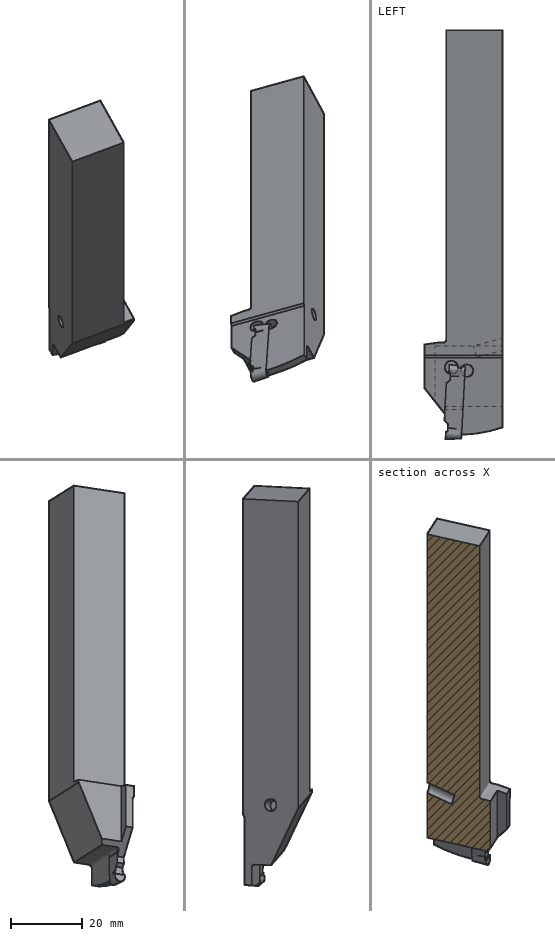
import cadquery as cq
import math


total_width = 15.9
total_depth = 21.9
total_height = 114.5

blade_inner_x = 2.5
blade_relief = 0.4
blade_thickness = blade_inner_x - blade_relief
blade_center_x = blade_relief + blade_thickness / 2
relief_top_z = 23.6
relief_ramp_height = 0.7
ramp_radius = (blade_relief**2 + relief_ramp_height**2) / (4 * blade_relief)

insert_length = 21.0
insert_tilt = 3.0
stem_depth = 5.0
nose_diameter = 3.1
cutting_edge_drop = 0.6
chip_groove_depth = 1.0
clearance_angle = 5.0
head_height = 3.3
head_neck_width = 2.5
stem_end = 2.2
groove_end = 4.4
stem_shoulder = 5.3
cutting_face_y = stem_depth - cutting_edge_drop
groove_y = stem_depth - chip_groove_depth
seat_center_y = 11.0

nose_radius = nose_diameter / 2
tilt = math.radians(insert_tilt)
nose_center_drop = insert_length / 2 - nose_radius
insert_center_z = nose_center_drop * math.cos(tilt) + nose_radius - cutting_face_y * math.sin(tilt)

shank_width = total_width - (nose_radius - blade_center_x)
shank_depth = shank_width

shoulder_z = 27.1
shoulder_fillet = 0.7
shoulder_knee_y = 18.0
tab_top_z = 26.6
tab_bottom_z = 14.3
jaw_tip_y = 16.1
jaw_tip_z = 7.1
blade_tip_y = 11.2
blade_tip_z = 1.3
blade_heel_z = 3.3
blade_arc_y = 6.4
blade_arc_z = 1.7

body_depth = 19.0
body_bottom_z = 9.3
body_fillet = 0.9
bevel_top_z = 26.2
bevel_bottom_x = 8.0

relief_hole_depth = 3.2
relief_holes = [(14.3, 20.2, 1.8), (10.0, 19.2, 1.7)]

rear_hole_diameter = 3.3
rear_hole_x = shank_width / 2
rear_hole_z = 26.7
rear_hole_angle = 15.0
rear_hole_length = 8.0


def make_stem():
    """Insert stem, upright about its mid-height, with its -Y side on Y = 0."""
    half = insert_length / 2
    lower = [
        (0, stem_end - half),
        (groove_y, stem_end - half),
        (groove_y, groove_end - half),
        (stem_depth, stem_shoulder - half),
    ]
    upper = [(y, -z) for y, z in reversed(lower)]
    stem = cq.Workplane("YZ").polyline(lower + upper).close().extrude(blade_thickness)
    return stem.translate((-blade_thickness / 2, 0, 0))


def make_head():
    """Lower round-nosed head, tapering from the cutting face towards -Y, with its chip groove."""
    nose_z = -nose_center_drop
    neck_z = head_height - insert_length / 2
    head = (
        cq.Workplane("XZ", origin=(0, cutting_face_y, 0))
        .moveTo(-head_neck_width / 2, neck_z)
        .lineTo(-nose_radius, nose_z)
        .threePointArc((0, nose_z - nose_radius), (nose_radius, nose_z))
        .lineTo(head_neck_width / 2, neck_z)
        .close()
        .extrude(cutting_face_y, taper=clearance_angle)
    )
    groove = cq.Workplane("XY").box(
        nose_diameter, stem_depth, groove_end - stem_end, centered=(True, False, False)
    )
    return head.cut(groove.translate((0, groove_y, stem_end - insert_length / 2)))


def place_insert(shape):
    """Tilt a shape from the insert's own frame and move it to its seat."""
    tilted = shape.rotate((0, 0, 0), (1, 0, 0), insert_tilt)
    return tilted.translate((blade_center_x, seat_center_y, insert_center_z))


def make_insert():
    head = make_head()
    return place_insert(make_stem().union(head).union(head.mirror("XY")))


def make_blank():
    """Full-width holder with the side outline of shank, tab, jaw and blade."""
    return (
        cq.Workplane("YZ")
        .moveTo(0, total_height)
        .lineTo(0, blade_heel_z)
        .threePointArc((blade_arc_y, blade_arc_z), (blade_tip_y, blade_tip_z))
        .lineTo(jaw_tip_y, jaw_tip_z)
        .lineTo(total_depth, tab_bottom_z)
        .lineTo(total_depth, tab_top_z)
        .lineTo(shoulder_knee_y, shoulder_z)
        .lineTo(shank_depth + shoulder_fillet, shoulder_z)
        .radiusArc((shank_depth, shoulder_z + shoulder_fillet), shoulder_fillet)
        .lineTo(shank_depth, total_height)
        .close()
        .extrude(shank_width)
    )


def make_front_outline():
    """Front outline of the holder: bevelled body, thin blade and relieved -X face."""
    return (
        cq.Workplane("XZ")
        .moveTo(0, total_height)
        .lineTo(0, relief_top_z)
        .radiusArc((blade_relief / 2, relief_top_z - relief_ramp_height / 2), ramp_radius)
        .radiusArc((blade_relief, relief_top_z - relief_ramp_height), -ramp_radius)
        .lineTo(blade_relief, 0)
        .lineTo(blade_inner_x, 0)
        .lineTo(blade_inner_x, body_bottom_z - body_fillet)
        .radiusArc((blade_inner_x + body_fillet, body_bottom_z), body_fillet)
        .lineTo(bevel_bottom_x, body_bottom_z)
        .lineTo(shank_width, bevel_top_z)
        .lineTo(shank_width, total_height)
        .close()
        .extrude(-total_depth)
    )


def make_tab_clearance():
    """Space beside the thin tab, where the thick body stops short in Y."""
    return cq.Workplane("XY").box(
        shank_width, total_depth, total_height, centered=False
    ).translate((blade_inner_x, body_depth, 0))


def make_insert_slot():
    """Slot of the stem's depth, open at the lower end of the blade."""
    slot_length = insert_length - stem_shoulder
    slot = cq.Workplane("XY").box(blade_thickness, stem_depth, slot_length, centered=(True, False, False))
    return place_insert(slot.translate((0, 0, -insert_length / 2)))


def make_relief_holes():
    holes = cq.Workplane("YZ")
    for y, z, radius in relief_holes:
        holes = holes.union(cq.Workplane("YZ").center(y, z).circle(radius).extrude(relief_hole_depth))
    return holes


def make_rear_hole():
    """Hole running inwards and downwards; it starts outside the face so that it opens fully."""
    hole = cq.Workplane("XZ").circle(rear_hole_diameter / 2).extrude(rear_hole_diameter)
    hole = hole.union(cq.Workplane("XZ").circle(rear_hole_diameter / 2).extrude(-rear_hole_length))
    return hole.rotate((0, 0, 0), (1, 0, 0), -rear_hole_angle).translate((rear_hole_x, 0, rear_hole_z))


def make_holder(insert):
    holder = make_blank().intersect(make_front_outline())
    holder = holder.cut(make_tab_clearance()).cut(make_insert_slot())
    holder = holder.cut(make_relief_holes()).cut(make_rear_hole())
    return holder.cut(insert)


insert = make_insert()
holder = make_holder(insert)
result = cq.Compound.makeCompound([holder.val(), insert.val()])